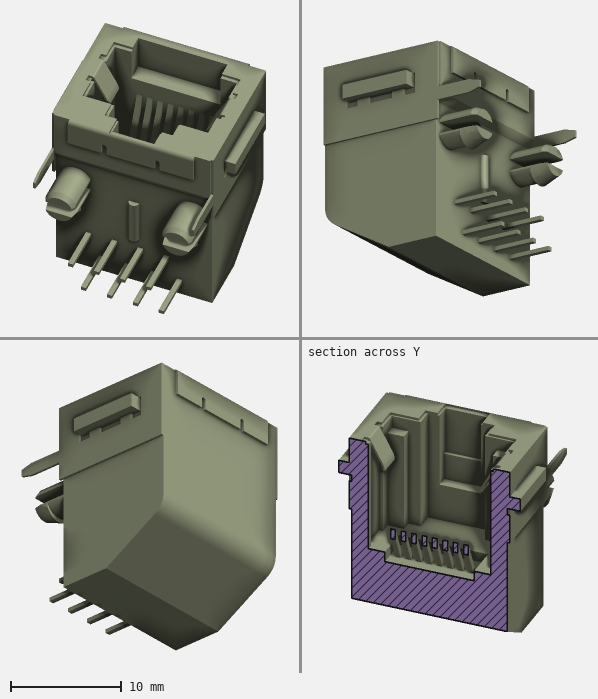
import math

import cadquery as cq


HEIGHT = 18.67
HOUSING_HALF_WIDTH = 7.63
HOUSING_DEPTH = 12.06
BACK_SLOPE_ANGLE = 30
BACK_SLOPE_RISE = 4.0
BACK_CORNER_RADIUS = 2.0

SHEET = 0.25
SHIELD_HALF_WIDTH = HOUSING_HALF_WIDTH + SHEET
SHIELD_BOTTOM = 11.21
SHIELD_SIDE_FRONT = -0.32
SHIELD_TOP_UNDERSIDE = HEIGHT - SHEET

PANEL_FRONT = -0.48
PANEL_SLOPE_BOTTOM = 13.0
PANEL_SLOPE_TOP = 13.86

SPRING_HALF_WIDTH = 6.12
SPRING_THICKNESS = 0.29
SPRING_REACH = 0.41
SPRING_BOTTOM = 16.02
SPRING_SLIT_X = 2.6
SPRING_SLIT_WIDTH = 0.5
SPRING_SLIT_TOP = 17.14

SHIELD_PIN_END = -4.86
SHIELD_PIN_TAPER_START = -3.68
SHIELD_PIN_Z = 13.62
SHIELD_PIN_WIDTH = 1.25
SHIELD_PIN_TIP_WIDTH = 0.65

TAB_HALF_SPAN = 17.78 / 2
TAB_BOTTOM = 14.78
TAB_TOP = 16.1
TAB_LENGTH = 6.92
WINDOW_Y = 5.85
WINDOW_LENGTH = 7.45
TOOTH_DEPTH = 0.6
END_TOOTH_WIDTH = 1.22
MIDDLE_TOOTH_WIDTH = 2.5

OPENING_HALF_WIDTH = 6.2
OPENING_BACK = 10.13
OPENING_FRONT = 2.77
OPENING_STEP_HALF_WIDTH = 3.4
LATCH_STEP_FRONT = 1.24
OPENING_LATCH_HALF_WIDTH = 2.2
OPENING_LATCH_FRONT = -0.68
RELIEF_HALF_SPAN = 6.69
RELIEF_WIDTH = 0.65

CAVITY_HALF_WIDTH = 5.97
CAVITY_BACK = 9.8
CAVITY_FRONT = 2.93
CAVITY_FLOOR = 7.5
CAVITY_STEP_HALF_WIDTH = 3.15
LATCH_HALF_WIDTH = 2.04
LATCH_FLOOR = 11.2
LATCH_UPPER_FRONT = -0.19
LATCH_LOWER_FRONT = 0.15
GROOVE_HALF_SPAN = 6.35
GROOVE_FRONT = 5.03
GROOVE_BACK = 7.78
POST_INNER_X = 4.35
POST_BACK = 3.97
POST_TOP = 17.2

WELL_HALF_WIDTH = 4.36
WELL_BACK = 11.42
WELL_FRONT = 5.13
WELL_LEDGE = 15.05
WELL_FLOOR = 6.5
CONTACT_COUNT = 8
CONTACT_PITCH = 1.02
CONTACT_WIDTH = 0.5
CONTACT_TOP = 13.2
CONTACT_FRONT = 6.71
CONTACT_DEPTH = 0.5

ARM_FRONT = 5.35
ARM_BACK = 7.66
ARM_THICKNESS = 0.2
ARM_ROOT_X = GROOVE_HALF_SPAN
ARM_TIP_X = 4.66
ARM_SLOPE_ANGLE = 61.5
ARM_ROOT_RADIUS = 0.285
ARM_TIP_RADIUS = 2.1
ARM_TIP_ANGLE = 84

PEG_X = 5.715
PEG_Z = 10.54
PEG_RADIUS = 1.63
PEG_HALF_WIDTH = 1.46
PEG_LENGTH = 3.99
PEG_TIP_LENGTH = 0.54
PEG_TIP_RADIUS = 1.38
PEG_SLOT_HEIGHT = 1.04
BARB_LENGTH = 1.68
BARB_DROP = 0.41

RIB_RADIUS = 0.5
RIB_BOTTOM = 5.44
RIB_TOP = 10.01

LEAD_PITCH = 2.54
LEADS_PER_ROW = 4
LEAD_WIDTH = 0.5
LEAD_HEIGHT = 0.38
LEAD_LENGTH = 4.3
UPPER_LEAD_Z = 4.17
LOWER_LEAD_Z = 1.64
LEAD_STAGGER = LEAD_PITCH / 4


def block(x0, x1, y0, y1, z0, z1):
    """Axis-aligned box between two corners."""
    return cq.Workplane("XY").box(x1 - x0, y1 - y0, z1 - z0, centered=False).translate((x0, y0, z0))


def centred_block(half_width, y0, y1, z0, z1):
    """Box symmetric about X = 0."""
    return block(-half_width, half_width, y0, y1, z0, z1)


def both_sides(shape):
    """The shape together with its mirror image across X = 0."""
    return shape.union(shape.mirror("YZ"))


def extrude_yz(profile, x0, x1):
    """Extrude a YZ profile from x0 to x1."""
    return profile.extrude(x1 - x0).translate((x0, 0, 0))


def housing():
    slope_start = HOUSING_DEPTH - BACK_SLOPE_RISE / math.tan(math.radians(BACK_SLOPE_ANGLE))
    profile = cq.Workplane("YZ").polyline([
        (0, 0),
        (slope_start, 0),
        (HOUSING_DEPTH, BACK_SLOPE_RISE),
        (HOUSING_DEPTH, HEIGHT),
        (0, HEIGHT),
    ]).close()
    body = extrude_yz(profile, -HOUSING_HALF_WIDTH, HOUSING_HALF_WIDTH)
    corner = cq.selectors.NearestToPointSelector((0, HOUSING_DEPTH, BACK_SLOPE_RISE))
    return body.edges(corner).fillet(BACK_CORNER_RADIUS)


def front_panel():
    profile = cq.Workplane("YZ").polyline([
        (0, PANEL_SLOPE_BOTTOM),
        (PANEL_FRONT, PANEL_SLOPE_TOP),
        (PANEL_FRONT, HEIGHT),
        (0, HEIGHT),
    ]).close()
    return extrude_yz(profile, -HOUSING_HALF_WIDTH, HOUSING_HALF_WIDTH)


def side_window():
    """Slot through a shield side plate with three teeth along its lower edge."""
    x0, x1 = HOUSING_HALF_WIDTH, SHIELD_HALF_WIDTH
    y0, y1 = WINDOW_Y - WINDOW_LENGTH / 2, WINDOW_Y + WINDOW_LENGTH / 2
    window = block(x0, x1, y0, y1, TAB_BOTTOM, TAB_TOP)
    teeth = [
        (y0, y0 + END_TOOTH_WIDTH),
        (WINDOW_Y - MIDDLE_TOOTH_WIDTH / 2, WINDOW_Y + MIDDLE_TOOTH_WIDTH / 2),
        (y1 - END_TOOTH_WIDTH, y1),
    ]
    for start, end in teeth:
        window = window.union(block(x0, x1, start, end, TAB_BOTTOM - TOOTH_DEPTH, TAB_BOTTOM))
    return window


def shield_pin():
    half, tip = SHIELD_PIN_WIDTH / 2, SHIELD_PIN_TIP_WIDTH / 2
    profile = cq.Workplane("YZ").polyline([
        (0, SHIELD_PIN_Z - half),
        (SHIELD_PIN_TAPER_START, SHIELD_PIN_Z - half),
        (SHIELD_PIN_END, SHIELD_PIN_Z - tip),
        (SHIELD_PIN_END, SHIELD_PIN_Z + tip),
        (SHIELD_PIN_TAPER_START, SHIELD_PIN_Z + half),
        (0, SHIELD_PIN_Z + half),
    ]).close()
    return extrude_yz(profile, HOUSING_HALF_WIDTH, SHIELD_HALF_WIDTH)


def shield_side():
    """Side plate with its window and pin, and the housing tab filling the window's top."""
    plate = block(
        HOUSING_HALF_WIDTH, SHIELD_HALF_WIDTH, SHIELD_SIDE_FRONT, HOUSING_DEPTH, SHIELD_BOTTOM, HEIGHT
    )
    tab = block(
        HOUSING_HALF_WIDTH, TAB_HALF_SPAN, WINDOW_Y - TAB_LENGTH / 2, WINDOW_Y + TAB_LENGTH / 2,
        TAB_BOTTOM, TAB_TOP,
    )
    return plate.cut(side_window()).union(tab).union(shield_pin())


def ground_spring(face_y, outward):
    """Strip folded from the top edge at face_y down the outside; outward is +1 or -1 along Y."""
    inner_radius = SPRING_REACH - SPRING_THICKNESS
    bend_z = HEIGHT - SPRING_REACH
    diagonal = math.sqrt(0.5)

    def at(offset, z):
        return (face_y + outward * offset, z)

    profile = (
        cq.Workplane("YZ")
        .moveTo(*at(0, HEIGHT))
        .threePointArc(
            at(SPRING_REACH * diagonal, bend_z + SPRING_REACH * diagonal), at(SPRING_REACH, bend_z)
        )
        .lineTo(*at(SPRING_REACH, SPRING_BOTTOM))
        .lineTo(*at(inner_radius, SPRING_BOTTOM))
        .lineTo(*at(inner_radius, bend_z))
        .threePointArc(
            at(inner_radius * diagonal, bend_z + inner_radius * diagonal), at(0, bend_z + inner_radius)
        )
        .close()
    )
    spring = extrude_yz(profile, -SPRING_HALF_WIDTH, SPRING_HALF_WIDTH)
    slit_radius = SPRING_SLIT_WIDTH / 2
    slit_round_z = SPRING_SLIT_TOP - slit_radius
    y0, y1 = sorted((face_y, face_y + outward * SPRING_REACH))
    for slit_x in (-SPRING_SLIT_X, SPRING_SLIT_X):
        slit = block(slit_x - slit_radius, slit_x + slit_radius, y0, y1, SPRING_BOTTOM, slit_round_z)
        slit_end = cq.Workplane("XZ", origin=(slit_x, y1, slit_round_z)).circle(slit_radius).extrude(y1 - y0)
        spring = spring.cut(slit).cut(slit_end)
    return spring


def shield_opening():
    """Stepped plug opening through the shield top, with relief cuts beside the latch arms."""
    z0, z1 = SHIELD_TOP_UNDERSIDE, HEIGHT
    return (
        centred_block(OPENING_HALF_WIDTH, OPENING_FRONT, OPENING_BACK, z0, z1)
        .union(centred_block(OPENING_STEP_HALF_WIDTH, LATCH_STEP_FRONT, OPENING_FRONT, z0, z1))
        .union(centred_block(OPENING_LATCH_HALF_WIDTH, OPENING_LATCH_FRONT, LATCH_STEP_FRONT, z0, z1))
        .union(centred_block(ARM_ROOT_X, ARM_FRONT, ARM_BACK, z0, z1))
        .union(centred_block(RELIEF_HALF_SPAN, ARM_FRONT - RELIEF_WIDTH, ARM_FRONT, z0, z1))
        .union(centred_block(RELIEF_HALF_SPAN, ARM_BACK, ARM_BACK + RELIEF_WIDTH, z0, z1))
    )


def plug_cavity():
    z0, z1 = CAVITY_FLOOR, SHIELD_TOP_UNDERSIDE
    cavity = (
        centred_block(CAVITY_HALF_WIDTH, CAVITY_FRONT, CAVITY_BACK, z0, z1)
        .union(centred_block(CAVITY_STEP_HALF_WIDTH, LATCH_STEP_FRONT, CAVITY_FRONT, z0, z1))
        .union(centred_block(LATCH_HALF_WIDTH, LATCH_LOWER_FRONT, LATCH_STEP_FRONT, LATCH_FLOOR, z1))
        .union(centred_block(LATCH_HALF_WIDTH, LATCH_UPPER_FRONT, LATCH_LOWER_FRONT, PANEL_SLOPE_TOP, z1))
        .union(centred_block(GROOVE_HALF_SPAN, GROOVE_FRONT, GROOVE_BACK, z0, z1))
    )
    post = block(POST_INNER_X, CAVITY_HALF_WIDTH, CAVITY_FRONT, POST_BACK, z0, POST_TOP)
    return cavity.cut(both_sides(post))


def contact_well():
    """Ledged pocket behind the contacts and the well they drop into."""
    back_pocket = centred_block(WELL_HALF_WIDTH, CAVITY_BACK, WELL_BACK, WELL_LEDGE, HEIGHT)
    well = centred_block(WELL_HALF_WIDTH, WELL_FRONT, CAVITY_BACK, WELL_FLOOR, CAVITY_FLOOR)
    return back_pocket.union(well)


def contacts():
    """Row of steep spring contacts between the cavity's back wall and the well floor."""
    drop_per_depth = (CONTACT_TOP - WELL_FLOOR) / (CAVITY_BACK - CONTACT_FRONT)
    profile = cq.Workplane("YZ").polyline([
        (CAVITY_BACK, CONTACT_TOP),
        (CONTACT_FRONT, WELL_FLOOR),
        (CONTACT_FRONT + CONTACT_DEPTH, WELL_FLOOR),
        (CAVITY_BACK, CONTACT_TOP - CONTACT_DEPTH * drop_per_depth),
    ]).close()
    contact = extrude_yz(profile, -CONTACT_WIDTH / 2, CONTACT_WIDTH / 2)
    row = cq.Workplane("XY")
    for index in range(CONTACT_COUNT):
        x = (index - (CONTACT_COUNT - 1) / 2) * CONTACT_PITCH
        row = row.add(contact.translate((x, 0, 0)))
    return row.combine()


def latch_arm():
    """Arm bent down from the shield top, sloping inward and curling to a nearly vertical tip."""
    slope = math.radians(ARM_SLOPE_ANGLE)
    root_z = HEIGHT - ARM_ROOT_RADIUS
    root_end_x = ARM_ROOT_X - ARM_ROOT_RADIUS * math.sin(slope)
    root_end_z = root_z + ARM_ROOT_RADIUS * math.cos(slope)
    tip_slope = math.radians(ARM_TIP_ANGLE)
    tip_centre_x = ARM_TIP_X + ARM_TIP_RADIUS * math.sin(tip_slope)
    tip_start_x = tip_centre_x - ARM_TIP_RADIUS * math.sin(slope)
    tip_start_z = root_end_z - (root_end_x - tip_start_x) * math.tan(slope)
    tip_z = tip_start_z - ARM_TIP_RADIUS * math.cos(slope)

    def root_point(inset, angle):
        radius = ARM_ROOT_RADIUS - inset
        return (ARM_ROOT_X - radius * math.sin(angle), root_z + radius * math.cos(angle))

    def tip_point(inset, angle):
        radius = ARM_TIP_RADIUS - inset
        return (tip_centre_x - radius * math.sin(angle), tip_z + radius * math.cos(angle))

    tip_middle = (slope + tip_slope) / 2
    return (
        cq.Workplane("XZ", origin=(0, ARM_BACK, 0))
        .moveTo(*root_point(0, 0))
        .threePointArc(root_point(0, slope / 2), root_point(0, slope))
        .lineTo(*tip_point(0, slope))
        .threePointArc(tip_point(0, tip_middle), tip_point(0, tip_slope))
        .lineTo(*tip_point(ARM_THICKNESS, tip_slope))
        .threePointArc(tip_point(ARM_THICKNESS, tip_middle), tip_point(ARM_THICKNESS, slope))
        .lineTo(*root_point(ARM_THICKNESS, slope))
        .threePointArc(root_point(ARM_THICKNESS, slope / 2), root_point(ARM_THICKNESS, 0))
        .close()
        .extrude(ARM_BACK - ARM_FRONT)
    )


def cone_frustum(base_y, base_radius, base_drop, length):
    """Frustum along -Y ending at the peg tip; its base centre lies base_drop below the peg axis."""
    return (
        cq.Workplane("XZ", origin=(PEG_X, base_y, PEG_Z))
        .center(0, -base_drop)
        .circle(base_radius)
        .workplane(offset=length)
        .center(0, base_drop)
        .circle(PEG_TIP_RADIUS)
        .loft(ruled=True)
    )


def locating_peg():
    """Split peg: a chamfered upper half, and a lower half ending in a barb."""
    tip_y = -PEG_LENGTH
    left, right = PEG_X - PEG_HALF_WIDTH, PEG_X + PEG_HALF_WIDTH
    slot_bottom, slot_top = PEG_Z - PEG_SLOT_HEIGHT / 2, PEG_Z + PEG_SLOT_HEIGHT / 2
    reach = 2 * PEG_RADIUS

    def shank(length):
        return cq.Workplane("XZ", origin=(PEG_X, 0, PEG_Z)).circle(PEG_RADIUS).extrude(length)

    upper_tip = cone_frustum(tip_y + PEG_TIP_LENGTH, PEG_RADIUS, 0, PEG_TIP_LENGTH)
    upper_half = shank(PEG_LENGTH - PEG_TIP_LENGTH).union(upper_tip)
    upper_half = upper_half.intersect(block(left, right, tip_y, 0, slot_top, PEG_Z + reach))
    barb = cone_frustum(tip_y + BARB_LENGTH, PEG_RADIUS, BARB_DROP, BARB_LENGTH)
    lower_half = shank(PEG_LENGTH - BARB_LENGTH).union(barb)
    lower_half = lower_half.intersect(block(left, right, tip_y, 0, PEG_Z - reach, slot_bottom))
    return upper_half.union(lower_half)


def standoff_rib():
    rib = cq.Workplane("XY", origin=(0, 0, RIB_BOTTOM)).circle(RIB_RADIUS).extrude(RIB_TOP - RIB_BOTTOM)
    return rib.intersect(centred_block(RIB_RADIUS, -RIB_RADIUS, 0, RIB_BOTTOM, RIB_TOP))


def leads():
    rows = cq.Workplane("XY")
    for z, shift in ((UPPER_LEAD_Z, -LEAD_STAGGER), (LOWER_LEAD_Z, LEAD_STAGGER)):
        for index in range(LEADS_PER_ROW):
            x = (index - (LEADS_PER_ROW - 1) / 2) * LEAD_PITCH + shift
            lead = block(
                x - LEAD_WIDTH / 2, x + LEAD_WIDTH / 2, -LEAD_LENGTH, 0,
                z - LEAD_HEIGHT / 2, z + LEAD_HEIGHT / 2,
            )
            rows = rows.add(lead)
    return rows.combine()


body = housing().union(front_panel()).union(both_sides(shield_side()))
body = body.union(ground_spring(PANEL_FRONT, -1)).union(ground_spring(HOUSING_DEPTH, 1))
body = body.cut(shield_opening()).cut(plug_cavity()).cut(contact_well())
body = body.union(contacts()).union(both_sides(latch_arm()))
body = body.union(both_sides(locating_peg())).union(standoff_rib())
result = body.union(leads())